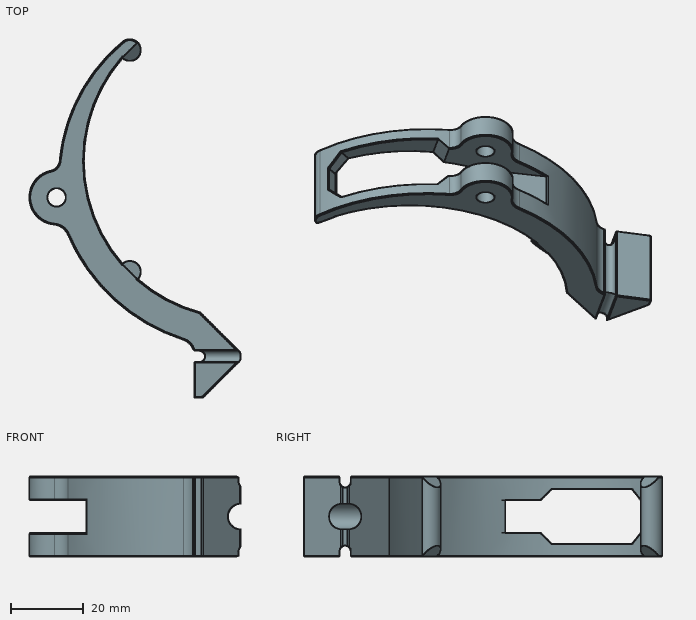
import cadquery as cq
import math

WIDTH = 22.0
HALF_WIDTH = WIDTH / 2
EDGE_CHAMFER = 0.3
FAR = 2 * WIDTH

BOSS_RADIUS = 7.5
PIVOT_HOLE_DIAMETER = 5.0
BOSS_UPPER_FILLET = 3.0
BOSS_LOWER_FILLET = 4.5

INNER_RADIUS = 43.0
ARM_CENTER_X = BOSS_RADIUS + INNER_RADIUS
ARM_CENTER_Y = 10.0
LOWER_THICKNESS = 8.5
ROOT_THICKNESS = 7.0
MIDDLE_THICKNESS = 4.95
TIP_THICKNESS = 3.0
ROOT_ANGLE = 184.0
TIP_ANGLE = 135.0
MIDDLE_ANGLE = (ROOT_ANGLE + TIP_ANGLE) / 2

RIB_RADIUS = 3.0
RIB_ANGLES = (TIP_ANGLE, 360.0 - TIP_ANGLE)

HOOK_INNER_ANGLE = 255.0
HOOK_LEFT_X = 37.7
HOOK_BOTTOM_Y = -55.0
HOOK_TIP_X = ARM_CENTER_X
HOOK_FILLET = 4.3

GROOVE_WIDTH = 3.0
GROOVE_DEPTH = 3.0
GROOVE_Y = -43.6
NOTCH_RADIUS = 3.5

SLOT_WIDTH = 9.0
SLOT_FLOOR_INNER_ANGLE = 193.0
SLOT_FLOOR_OUTER_ANGLE = 214.5
WINDOW_WIDTH = 15.0
WINDOW_TIP_CHAMFER = 4.0
WINDOW_ROOT_CHAMFER = (WINDOW_WIDTH - SLOT_WIDTH) / 2


def polar(radius, angle):
    """Point at a radius and angle (degrees) from the centre of the inner arc."""
    turn = math.radians(angle)
    return (ARM_CENTER_X + radius * math.cos(turn), ARM_CENTER_Y + radius * math.sin(turn))


def upright_edge(body, point):
    """Full-height edge that is nearest to an XY point."""
    nearest = cq.selectors.NearestToPointSelector((point[0], point[1], 0))
    return body.edges("|Z").edges(nearest)


def prism(points):
    """Full-width body with a straight-sided XY outline."""
    return cq.Workplane("XY").polyline(points).close().extrude(HALF_WIDTH, both=True)


def make_upper_arm():
    """Tapering arm from the boss to the tip."""
    return (
        cq.Workplane("XY")
        .moveTo(*polar(INNER_RADIUS, ROOT_ANGLE))
        .threePointArc(polar(INNER_RADIUS, MIDDLE_ANGLE), polar(INNER_RADIUS, TIP_ANGLE))
        .lineTo(*polar(INNER_RADIUS + TIP_THICKNESS, TIP_ANGLE))
        .threePointArc(
            polar(INNER_RADIUS + MIDDLE_THICKNESS, MIDDLE_ANGLE),
            polar(INNER_RADIUS + ROOT_THICKNESS, ROOT_ANGLE),
        )
        .lineTo(0, 0)
        .close()
        .extrude(HALF_WIDTH, both=True)
    )


def make_lower_arm():
    """Arm of even thickness that runs into the pointed hook."""
    outer_radius = INNER_RADIUS + LOWER_THICKNESS
    inner_end = polar(INNER_RADIUS, HOOK_INNER_ANGLE)
    tip_top_y = inner_end[1] - (HOOK_TIP_X - inner_end[0])
    tip_bottom_y = 2 * GROOVE_Y - tip_top_y
    bottom_right_x = HOOK_TIP_X - (tip_bottom_y - HOOK_BOTTOM_Y)
    offset = HOOK_LEFT_X - ARM_CENTER_X
    corner_y = ARM_CENTER_Y - math.sqrt(outer_radius**2 - offset**2)
    corner_angle = 360 - math.degrees(math.acos(offset / outer_radius))
    outer_middle = polar(outer_radius, (ROOT_ANGLE + corner_angle) / 2)
    inner_middle = polar(INNER_RADIUS, (ROOT_ANGLE + HOOK_INNER_ANGLE) / 2)
    body = (
        cq.Workplane("XY")
        .moveTo(*polar(INNER_RADIUS, ROOT_ANGLE))
        .threePointArc(inner_middle, inner_end)
        .lineTo(HOOK_TIP_X, tip_top_y)
        .lineTo(HOOK_TIP_X, tip_bottom_y)
        .lineTo(bottom_right_x, HOOK_BOTTOM_Y)
        .lineTo(HOOK_LEFT_X, HOOK_BOTTOM_Y)
        .lineTo(HOOK_LEFT_X, corner_y)
        .threePointArc(outer_middle, polar(outer_radius, ROOT_ANGLE))
        .lineTo(0, 0)
        .close()
        .extrude(HALF_WIDTH, both=True)
    )
    body = upright_edge(body, (HOOK_LEFT_X, corner_y)).fillet(HOOK_FILLET)
    hook_corners = (
        (HOOK_TIP_X, tip_top_y),
        (HOOK_TIP_X, tip_bottom_y),
        (bottom_right_x, HOOK_BOTTOM_Y),
        (HOOK_LEFT_X, HOOK_BOTTOM_Y),
    )
    for corner in hook_corners:
        body = upright_edge(body, corner).chamfer(EDGE_CHAMFER)
    return body


def make_rib(angle):
    """Round rib whose inner half slopes away at 45 degrees at both ends."""
    round_bar = (
        cq.Workplane("XY")
        .center(*polar(INNER_RADIUS, angle))
        .circle(RIB_RADIUS)
        .extrude(HALF_WIDTH, both=True)
        .edges("%CIRCLE")
        .chamfer(EDGE_CHAMFER)
    )
    end_height = HALF_WIDTH - RIB_RADIUS
    envelope = (
        cq.Workplane("XZ")
        .polyline([
            (-RIB_RADIUS, -HALF_WIDTH),
            (0, -HALF_WIDTH),
            (RIB_RADIUS, -end_height),
            (RIB_RADIUS, end_height),
            (0, HALF_WIDTH),
            (-RIB_RADIUS, HALF_WIDTH),
        ])
        .close()
        .extrude(RIB_RADIUS, both=True)
        .rotate((0, 0, 0), (0, 0, 1), angle + 180)
        .translate((*polar(INNER_RADIUS, angle), 0))
    )
    return round_bar.intersect(envelope)


def make_arm_with_boss():
    boss = cq.Workplane("XY").circle(BOSS_RADIUS).extrude(HALF_WIDTH, both=True)
    body = make_lower_arm().union(make_upper_arm()).union(boss)
    upper_corner = (0, BOSS_RADIUS)
    lower_corner = (0, -BOSS_RADIUS)
    body = upright_edge(body, upper_corner).fillet(BOSS_UPPER_FILLET)
    body = upright_edge(body, lower_corner).fillet(BOSS_LOWER_FILLET)
    return body.faces(">Z or <Z").edges().chamfer(EDGE_CHAMFER)


def is_opening_rim(edge):
    """Tell whether an edge is where the slot or window breaks through the outer side."""
    middle = edge.positionAt(0.5)
    box = edge.BoundingBox()
    reach = math.hypot(middle.x - ARM_CENTER_X, middle.y - ARM_CENTER_Y)
    inside_window = max(abs(box.zmin), abs(box.zmax)) < WINDOW_WIDTH / 2 + EDGE_CHAMFER
    on_outer_side = reach > INNER_RADIUS + TIP_THICKNESS / 2
    is_wall_crease = edge.geomType() == "LINE" and box.zlen < SLOT_WIDTH / 2
    root_end = ARM_CENTER_Y + WINDOW_ROOT_CHAMFER
    on_root_chamfer = box.zlen > EDGE_CHAMFER and ARM_CENTER_Y < middle.y < root_end
    return inside_window and on_outer_side and not is_wall_crease and not on_root_chamfer


def open_slot_and_window(body):
    body = body.cut(make_slot()).cut(make_window())
    return body.edges().filter(is_opening_rim).chamfer(EDGE_CHAMFER)


def make_slot():
    """Fork slot that splits the boss and ends on a slanted floor."""
    floor_inner = polar(INNER_RADIUS, SLOT_FLOOR_INNER_ANGLE)
    floor_outer = polar(INNER_RADIUS + LOWER_THICKNESS, SLOT_FLOOR_OUTER_ANGLE)
    outline = [
        (-FAR, ARM_CENTER_Y + WINDOW_ROOT_CHAMFER),
        (floor_inner[0], ARM_CENTER_Y + WINDOW_ROOT_CHAMFER),
        floor_inner,
        floor_outer,
        (-FAR, floor_outer[1]),
    ]
    layer = cq.Workplane("XY").box(4 * FAR, 4 * FAR, SLOT_WIDTH)
    return prism(outline).intersect(layer)


def make_window_end(start, chamfer):
    """Opening with chamfered corners that begins at a distance above the arc centre and runs on in +Y.

    It is cut along X, from the arc centre through the arm.
    """
    half = WINDOW_WIDTH / 2
    return (
        cq.Workplane("YZ", origin=(ARM_CENTER_X, ARM_CENTER_Y, 0))
        .polyline([
            (start, chamfer - half),
            (start + chamfer, -half),
            (start + FAR, -half),
            (start + FAR, half),
            (start + chamfer, half),
            (start, half - chamfer),
        ])
        .close()
        .extrude(-2 * FAR)
    )


def make_window():
    """Window between the arc centre level and the tip rib, each end cut along its own radius."""
    axis_start = (ARM_CENTER_X, ARM_CENTER_Y, 0)
    axis_end = (ARM_CENTER_X, ARM_CENTER_Y, 1)
    root_end = make_window_end(0, WINDOW_ROOT_CHAMFER)
    tip_end = make_window_end(RIB_RADIUS, WINDOW_TIP_CHAMFER).mirror("XZ", axis_start)
    return root_end.intersect(tip_end.rotate(axis_start, axis_end, TIP_ANGLE - 180))


def make_groove_cutter(plane):
    """Cutter along the plane normal: round bottom at the origin, mouth flared, open to local -x."""
    radius = GROOVE_WIDTH / 2
    flare_start = EDGE_CHAMFER - GROOVE_DEPTH
    flare_end = -EDGE_CHAMFER - GROOVE_DEPTH
    flare_half = radius + flare_start - flare_end
    return (
        cq.Workplane(plane)
        .moveTo(flare_end, -flare_half)
        .lineTo(flare_start, -radius)
        .lineTo(-radius, -radius)
        .threePointArc((0, 0), (-radius, radius))
        .lineTo(flare_start, radius)
        .lineTo(flare_end, flare_half)
        .close()
        .extrude(FAR, both=True)
    )


def make_groove():
    """Round-bottomed groove across the left, top and bottom faces of the hook."""
    left_bottom = (HOOK_LEFT_X + GROOVE_DEPTH, GROOVE_Y, 0)
    top_bottom = (HOOK_TIP_X, GROOVE_Y, HALF_WIDTH - GROOVE_DEPTH)
    left = make_groove_cutter(cq.Plane(left_bottom, xDir=(1, 0, 0), normal=(0, 0, 1)))
    top = make_groove_cutter(cq.Plane(top_bottom, xDir=(0, 0, -1), normal=(1, 0, 0)))
    return left.union(top).union(top.mirror("XY"))


def make_notch():
    """Round notch across the hook tip."""
    return (
        cq.Workplane("XZ", origin=(HOOK_TIP_X, GROOVE_Y, 0))
        .circle(NOTCH_RADIUS)
        .extrude(2 * NOTCH_RADIUS, both=True)
    )


def make_pivot_hole():
    return cq.Workplane("XY").circle(PIVOT_HOLE_DIAMETER / 2).extrude(WIDTH, both=True)


result = open_slot_and_window(make_arm_with_boss())
for rib_angle in RIB_ANGLES:
    result = result.union(make_rib(rib_angle))
for cutter in (make_groove(), make_notch(), make_pivot_hole()):
    result = result.cut(cutter)